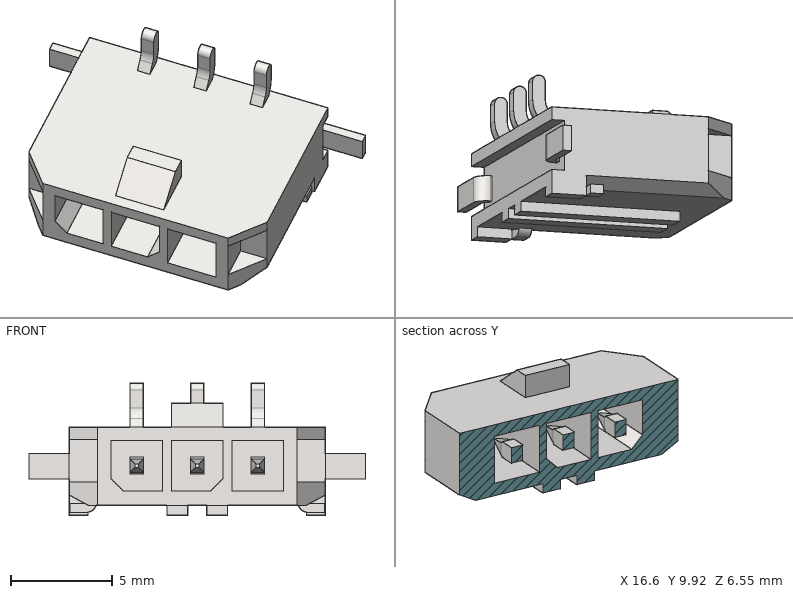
import cadquery as cq
import math


OVERLAP = 0.33

body_width = 12.69
body_depth = 9.85
floor_z = 0.5
top_z = 4.36
corner_width = 1.42
corner_depth = 1.7
pocket_bottom = 1.65
pocket_top = 3.76
rear_groove_depth = 0.67
groove_bottom = 1.2
groove_top = 3.71

foot_width = 0.95
foot_front = 8.06
bevel_height = 0.52
rail_width = 1.03
rail_offset = 0.98
rail_front = 1.58

pitch = 3.0
socket_width = 2.56
socket_bottom = 1.2
socket_top = 3.71
socket_depth = 7.33
key_size = 0.63
pin_width = 0.67
pin_height = 0.85
pin_center_z = 2.46
pin_tip_width = 0.18
pin_point_length = 1.0
pin_neck_length = 0.1
pin_tip_y = 3.0

tail_top = 6.55
tail_bend_z = 5.31
tail_bend_radius = 0.83
tail_bend_angle = math.radians(38)

latch_back = 2.95
latch_crest = 2.15
latch_front = 0.57
latch_top = 5.56

sheet = 0.45
tab_span = 16.65
tab_back = 9.92
tab_bottom = 1.8
tab_top = 3.06
tab_bend_x = 5.78
tab_bend_radius = 0.2
peg_tip_x = 6.3
peg_bend_x = 5.48
peg_bend_radius = 0.05
peg_bottom = 0.15
peg_front = 7.15
peg_width = 0.67

half_width = body_width / 2
pin_positions = [-pitch, 0, pitch]


def block(x0, x1, y0, y1, z0, z1):
    """Box between two opposite corners."""
    return cq.Workplane("XY").box(x1 - x0, y1 - y0, z1 - z0, centered=False).translate((x0, y0, z0))


def both_sides(solid):
    """Solid together with its mirror image across x = 0."""
    return solid.union(solid.mirror("YZ"))


def along_y(outline, y0, y1):
    """Extrude an outline drawn in (x, z) from y0 to y1."""
    return outline.extrude(y0 - y1).translate((0, y0, 0))


def housing():
    front_half_width = half_width - corner_width
    body = (
        cq.Workplane("XY", origin=(0, 0, floor_z))
        .polyline([
            (-front_half_width, 0),
            (front_half_width, 0),
            (half_width, corner_depth),
            (half_width, body_depth),
            (-half_width, body_depth),
            (-half_width, corner_depth),
        ])
        .close()
        .extrude(top_z - floor_z)
    )
    bevel = along_y(
        cq.Workplane("XZ")
        .polyline([
            (-half_width, floor_z),
            (-half_width + foot_width, floor_z),
            (-half_width, floor_z + bevel_height),
        ])
        .close(),
        0, foot_front,
    )
    pocket = block(-half_width, -front_half_width, 0, corner_depth, pocket_bottom, pocket_top)
    foot = block(-half_width, -half_width + foot_width, foot_front, body_depth, 0, floor_z)
    rail = block(
        -rail_offset - rail_width / 2, -rail_offset + rail_width / 2,
        rail_front, body_depth, 0, floor_z,
    )
    rear_groove = block(
        -half_width, half_width, body_depth - rear_groove_depth, body_depth,
        groove_bottom, groove_top,
    )
    body = body.cut(both_sides(bevel)).cut(both_sides(pocket)).cut(rear_groove)
    return body.union(both_sides(foot)).union(both_sides(rail))


def socket(x, key_side):
    """Pin cavity; key_side -1 or 1 fills its lower left or right corner, 0 leaves it square."""
    half = socket_width / 2
    cavity = block(x - half, x + half, 0, socket_depth, socket_bottom, socket_top)
    if key_side:
        corner_x = x + key_side * half
        key = along_y(
            cq.Workplane("XZ")
            .polyline([
                (corner_x, socket_bottom),
                (corner_x - key_side * key_size, socket_bottom),
                (corner_x, socket_bottom + key_size),
            ])
            .close(),
            0, socket_depth,
        )
        cavity = cavity.cut(key)
    return cavity


def contact_pin(x):
    """Blade whose upper and lower faces narrow to a square neck and then to a blunt point."""
    neck_y = pin_tip_y + pin_point_length
    blade_y = neck_y + pin_neck_length
    blade_length = socket_depth + OVERLAP - blade_y

    def section(y):
        return cq.Workplane("XZ", origin=(x, y, pin_center_z))

    blade = section(blade_y).rect(pin_width, pin_height).extrude(-blade_length)
    neck = (
        section(blade_y)
        .rect(pin_width, pin_height)
        .workplane(offset=pin_neck_length)
        .rect(pin_width, pin_width)
        .loft(ruled=True)
    )
    point = (
        section(neck_y)
        .rect(pin_width, pin_width)
        .workplane(offset=pin_point_length)
        .rect(pin_tip_width, pin_tip_width)
        .loft(ruled=True)
    )
    return blade.union(neck).union(point)


def solder_tail(x):
    """Round-ended tail that bends forward and down into the top of the housing."""
    back = body_depth
    front = back - pin_width
    bend_center_y = front - tail_bend_radius
    outer_radius = tail_bend_radius + pin_width
    round_z = tail_top - pin_width / 2

    def on_bend(radius, angle):
        return (bend_center_y + radius * math.cos(angle), tail_bend_z - radius * math.sin(angle))

    inner_end = on_bend(tail_bend_radius, tail_bend_angle)
    outer_end = on_bend(outer_radius, tail_bend_angle)
    root_z = top_z - OVERLAP
    slope = math.tan(tail_bend_angle)
    outer_root = (outer_end[0] - (outer_end[1] - root_z) * slope, root_z)
    inner_root = (inner_end[0] - (inner_end[1] - root_z) * slope, root_z)
    return (
        cq.Workplane("YZ", origin=(x - pin_width / 2, 0, 0))
        .moveTo(front, round_z)
        .threePointArc((front + pin_width / 2, tail_top), (back, round_z))
        .lineTo(back, tail_bend_z)
        .threePointArc(on_bend(outer_radius, tail_bend_angle / 2), outer_end)
        .lineTo(*outer_root)
        .lineTo(*inner_root)
        .lineTo(*inner_end)
        .threePointArc(on_bend(tail_bend_radius, tail_bend_angle / 2), (front, tail_bend_z))
        .close()
        .extrude(pin_width)
    )


def latch():
    return (
        cq.Workplane("YZ", origin=(-socket_width / 2, 0, 0))
        .polyline([
            (latch_front, top_z),
            (latch_crest, latch_top),
            (latch_back, latch_top),
            (latch_back, top_z),
        ])
        .close()
        .extrude(socket_width)
    )


def bent_strip(plane, tip, bend, bend_radius, outer_face, leg_end, turn):
    """Outline of a sheet strip running from tip to bend, then turning a right angle to leg_end.

    outer_face is the coordinate of its outer face and turn (1 or -1) the way the leg goes.
    """
    outer_radius = bend_radius + sheet
    inner_face = outer_face + turn * sheet
    center = outer_face + turn * outer_radius
    diagonal = math.sqrt(0.5)
    return (
        cq.Workplane(plane)
        .moveTo(tip, outer_face)
        .lineTo(bend, outer_face)
        .threePointArc(
            (bend + outer_radius * diagonal, center - turn * outer_radius * diagonal),
            (bend + outer_radius, center),
        )
        .lineTo(bend + outer_radius, leg_end)
        .lineTo(bend + bend_radius, leg_end)
        .lineTo(bend + bend_radius, center)
        .threePointArc(
            (bend + bend_radius * diagonal, center - turn * bend_radius * diagonal),
            (bend, inner_face),
        )
        .lineTo(tip, inner_face)
        .close()
    )


def tabs():
    """Side tabs behind the housing, bent forward into the floor of the rear groove."""
    leg_end = body_depth - rear_groove_depth - OVERLAP
    strip = bent_strip("XY", -tab_span / 2, -tab_bend_x, tab_bend_radius, tab_back, leg_end, -1)
    return both_sides(strip.extrude(tab_top - tab_bottom).translate((0, 0, tab_bottom)))


def pegs():
    """Side pegs under the housing, bent upward into its floor."""
    leg_end = floor_z + bevel_height + OVERLAP
    strip = bent_strip("XZ", -peg_tip_x, -peg_bend_x, peg_bend_radius, peg_bottom, leg_end, 1)
    return both_sides(along_y(strip, peg_front, peg_front + peg_width))


result = housing()
for x, key_side in zip(pin_positions, (-1, 1, 0)):
    result = result.cut(socket(x, key_side)).union(contact_pin(x)).union(solder_tail(x))
result = result.union(latch()).union(tabs()).union(pegs())